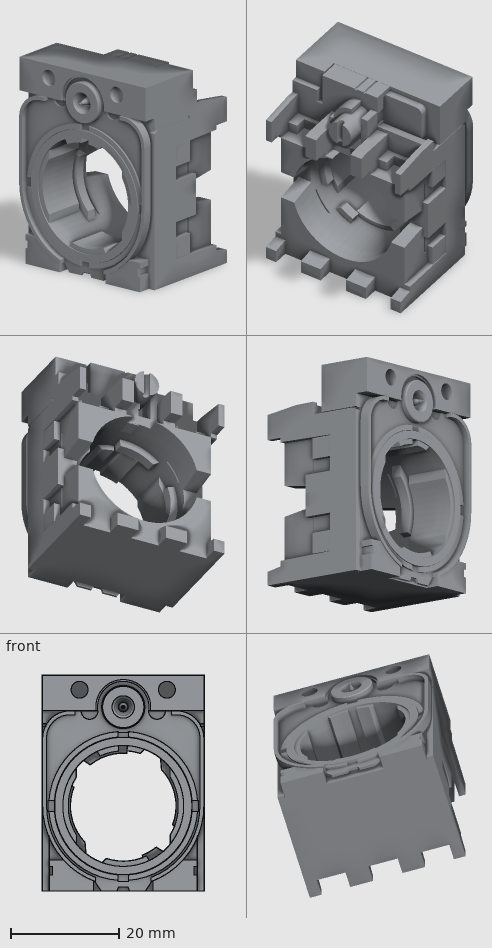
import cadquery as cq
import math

width = 30.0
height = 39.95
half = width / 2

rim_front = -0.28
pin_tip = -1.05
hub_front = 0.5
plate_face = 1.08
plate_back = 1.55
body_front = 2.6
block_back = 10.85
wall_back = 15.05
bay_back = 20.77
back = 23.85

bore_z = 15.75
bore_r = 11.2
lug_r = 10.2
deep_lug_r = 9.75
long_root_r = 11.8
deep_root_r = 12.0
chord_x = 8.65
lug_front = hub_front + 0.28
long_lug_back = 9.6
deep_lug_front = 10.2
deep_lug_back = 12.2

rim_wall = 0.7
plate_half = half - 0.1
plate_top = 33.3
plate_corner_r = 5.05
tab_half_top = 5.27
tab_half_bottom = 4.07
rim_gap_top = 8.95
rim_gap_bottom = 5.15
neck_r = 14.0
ring_outer_r = 13.8
ring_inner_r = 12.8
hub_r = 12.7
key_gap = 1.95

block_low = 33.45
body_top = 30.9
centre_left = -3.88
screw_z = 34.05
screw_r = 4.0
bushing_r = 4.15
socket_r = 2.08
socket_floor = 1.8
pin_base_r = 0.88

side_wall = 1.25
inner_half = half - side_wall
bay_floor = 26.7
bay_step = 28.75
foot_tip_z = 2.6
foot_root_z = 3.15
arm_low = 27.53
arm_tip_z = 32.28
shoulder_y = 13.0
shoulder_top = 33.28

post_inner = 3.85
post_outer = 6.25
foot_overhang = 1.0


def box(x0, x1, y0, y1, z0, z1):
    return cq.Workplane("XY").box(x1 - x0, y1 - y0, z1 - z0, centered=False).translate((x0, y0, z0))


def both_sides(shape):
    return shape.union(shape.mirror("YZ"))


def front_sketch(y):
    """Workplane at depth y with local axes X and Z; extruding moves toward the front (-Y)."""
    return cq.Workplane(cq.Plane(origin=(0, y, 0), xDir=(1, 0, 0), normal=(0, -1, 0)))


def disc(r, y0, y1, z=bore_z, x=0):
    return front_sketch(y1).center(x, z).circle(r).extrude(y1 - y0)


def front_poly(points, y0, y1):
    return front_sketch(y1).polyline(points).close().extrude(y1 - y0)


def side_poly(points, x0, x1):
    """Prism along X from an outline of (y, z) points."""
    return cq.Workplane("YZ").polyline(points).close().extrude(x1 - x0).translate((x0, 0, 0))


def plate_outline(inset, y0, y1):
    """Rounded-top plate with a lower half-circle about the bore."""
    side = plate_half - inset
    top = box(-side, side, y0, y1, bore_z, plate_top - inset)
    top = top.edges("|Y and >Z").fillet(plate_corner_r - inset)
    return top.union(disc(side, y0, y1))


def front_plate():
    tab_top = 1.8
    notch_top = 0.8
    notch_half_top = 0.85
    notch_half_bottom = 1.2
    plate = plate_outline(0, rim_front, plate_back)
    tab = [(-tab_half_top, tab_top + rim_wall), (-tab_half_top, tab_top), (-tab_half_bottom, 0),
           (tab_half_bottom, 0), (tab_half_top, tab_top), (tab_half_top, tab_top + rim_wall)]
    plate = plate.union(front_poly(tab, plate_face, plate_back))
    plate = plate.cut(plate_outline(rim_wall, rim_front, plate_face))
    plate = plate.cut(box(-rim_gap_top, rim_gap_top, rim_front, plate_face, bore_z, plate_top))
    plate = plate.cut(box(-rim_gap_bottom, rim_gap_bottom, rim_front, plate_face, 0, bore_z))
    notch = [(-notch_half_bottom, 0), (-notch_half_top, notch_top),
             (notch_half_top, notch_top), (notch_half_bottom, 0)]
    plate = plate.cut(front_poly(notch, plate_face, plate_back))
    scallop_x = 6.25
    scallop_r = 1.55
    scallop_floor = plate_face + 0.4
    plate = plate.cut(both_sides(disc(scallop_r, plate_face, scallop_floor, plate_top, scallop_x)))
    return plate.union(disc(neck_r, plate_back, body_front))


def add_hub(plate):
    """Raised ring around the bore, broken by four key gaps, and the hub inside it."""
    ring_front = 0.65
    gap_floor = plate_face + 0.1
    ring = disc(ring_outer_r, ring_front, plate_back).cut(disc(ring_inner_r, ring_front, plate_back))
    reach = ring_outer_r + 0.15
    gaps = box(-key_gap / 2, key_gap / 2, ring_front, gap_floor, bore_z - reach, bore_z + reach)
    gaps = gaps.union(box(-reach, reach, ring_front, gap_floor,
                          bore_z - key_gap / 2, bore_z + key_gap / 2))
    return plate.union(ring).cut(gaps).union(disc(hub_r, hub_front, plate_back))


def corner_blocks():
    """Two blocks at the lower front corners, each with a small latch notch."""
    outer_x = 13.62
    inner_x = 5.47
    top = 5.7
    block = box(inner_x, outer_x, 0, body_front, 0, top)
    latch_depth = 0.5
    block = block.cut(box(outer_x - latch_depth, outer_x, 0, body_front, 3.0, 4.55))
    clear = disc(plate_half, rim_front, plate_face)
    return both_sides(block.cut(clear))


def side_plates():
    web_low = 11.7
    web_high = 19.65
    web_back = 14.8
    window_front = 8.85
    outline = [
        (body_front, 0), (back, 0), (back, foot_tip_z), (bay_back, foot_root_z), (bay_back, 4.25),
        (window_front, 4.45), (window_front, web_low), (web_back, web_low), (web_back, web_high),
        (window_front, web_high), (window_front, 26.5), (bay_back, bay_floor), (bay_back, arm_low),
        (back, arm_low), (back, arm_tip_z), (17.05, 33.2), (shoulder_y, shoulder_top),
        (shoulder_y, body_top), (3.48, body_top), (body_front, 30.4),
    ]
    plate = side_poly(outline, inner_half, half)
    pad_out = half - 0.08
    pad_back = 13.15
    plate = plate.union(box(inner_half, pad_out, window_front, pad_back, 4.5, 8.45))
    plate = plate.union(box(inner_half, pad_out, window_front, pad_back, 22.45, 26.4))
    return both_sides(plate)


def body():
    split_front = 13.85
    split_back = 14.22
    mid_back = 14.8
    halves_meet = 13.45
    wall_front = 13.05
    front = box(-inner_half, inner_half, body_front, halves_meet, 0, body_top)
    rear = side_poly([(halves_meet, 0), (bay_back, 0), (bay_back, 12.8), (mid_back, 13.7),
                      (mid_back, 17.78), (bay_back, 18.65), (bay_back, bay_floor),
                      (halves_meet, bay_floor)], -inner_half, inner_half)
    solid = front.union(rear)
    wall = [(wall_front, bay_floor), (wall_back, bay_floor), (wall_back, shoulder_top), (wall_front, 32.8)]
    solid = solid.union(side_poly(wall, -inner_half, inner_half))
    for low, high in ((7.35, 11.75), (19.58, 23.65)):
        solid = solid.cut(box(-inner_half, inner_half, split_front, split_back, low, high))
    return solid


def bay_ledges():
    """Stepped floors of the three upper rear bays; the outer two are notched."""
    step_back = 18.35
    notch_front = 15.95
    outer = box(post_outer, inner_half, wall_back, step_back, bay_floor, bay_step)
    outer = outer.cut(box(8.15, 11.83, notch_front, step_back, bay_floor, bay_step))
    middle = box(-post_inner, post_inner, wall_back, step_back, bay_floor, bay_step)
    return both_sides(outer).union(middle)


def posts_and_feet():
    arm_top = 32.5
    profile = [(wall_back, bay_floor), (bay_back, bay_floor), (bay_back, arm_low), (back, arm_low),
               (back, arm_tip_z), (22.45, arm_top), (wall_back, arm_top)]
    foot = [(bay_back, 0), (back, 0), (back, foot_tip_z), (bay_back, foot_root_z)]
    parts = side_poly(profile, post_inner, post_outer)
    parts = parts.union(side_poly(foot, post_inner - foot_overhang, post_outer + foot_overhang))
    parts = parts.union(side_poly(foot, inner_half - foot_overhang, inner_half))
    return both_sides(parts)


def polar(r, degrees):
    a = math.radians(degrees)
    return (r * math.cos(a), bore_z + r * math.sin(a))


def lug(r_in, r_root, y0, y1, start_in, start_root, end_in, end_root):
    """Lug on the bore wall; each flank runs from the inner radius to the root radius."""
    sketch = front_sketch(y1).moveTo(*polar(r_in, start_in))
    sketch = sketch.threePointArc(polar(r_in, (start_in + end_in) / 2), polar(r_in, end_in))
    sketch = sketch.lineTo(*polar(r_root, end_root))
    sketch = sketch.threePointArc(polar(r_root, (start_root + end_root) / 2),
                                  polar(r_root, start_root))
    return sketch.close().extrude(y1 - y0)


def long_lugs():
    """Left and right segments beyond the chords, and a lug at the top and the bottom."""
    ring = disc(long_root_r, lug_front, long_lug_back).cut(disc(lug_r, lug_front, long_lug_back))
    lugs = ring.cut(box(-chord_x, chord_x, lug_front, long_lug_back, 0, height))
    for turn in (0, 180):
        lugs = lugs.union(lug(lug_r, long_root_r, lug_front, long_lug_back,
                              72 + turn, 68 + turn, 115 + turn, 115.8 + turn))
    keyway = box(-0.88, 0.7, lug_front, long_lug_back, bore_z, height)
    return lugs.cut(keyway)


def deep_lugs():
    """Lugs further back that reach further into the bore."""
    spans = ((-21, -21, 43.7, 55.5), (159, 159, 223.7, 235.5),
             (86, 86, 128.8, 132.2), (291, 291, 308.8, 312.2))
    lugs = cq.Workplane("XY")
    for span in spans:
        lugs = lugs.add(lug(deep_lug_r, deep_root_r, deep_lug_front, deep_lug_back, *span))
    return lugs.combine()


def terminal_block():
    block = box(-half, half, 0, block_back, block_low, height)
    block = block.union(box(-half, half, body_front, block_back, body_top, block_low))
    hole_x = 8.05
    hole_z = 37.25
    hole_r = 1.55
    hole_depth = 4.8
    block = block.cut(both_sides(disc(hole_r, 0, hole_depth, hole_z, hole_x)))
    step_r = 5.07
    step_depth = 0.5
    clearance_r = 4.75
    block = block.cut(disc(step_r, 0, step_depth, screw_z))
    block = block.cut(disc(clearance_r, 0, plate_face, screw_z))
    return block.union(disc(clearance_r, plate_face, plate_back, screw_z))


def rear_blocks():
    right_x = 8.35
    low_top = 35.95
    centre_top = height - 0.05
    groove_width = 0.4
    groove_depth = 0.25
    centre = box(centre_left, right_x, block_back, wall_back, body_top, centre_top)
    for groove_x in (-1.15, 0.75):
        centre = centre.cut(box(groove_x, groove_x + groove_width, block_back, wall_back,
                                centre_top - groove_depth, centre_top))
    recess_depth = 0.3
    recess_x = centre_left + recess_depth
    centre = centre.cut(box(centre_left, recess_x, shoulder_y, wall_back, shoulder_top, 36.15))
    centre = centre.cut(box(centre_left, recess_x, 12.5, shoulder_y, 31.55, 38.75))
    right_back = 13.95
    right = box(8.63, half, block_back, right_back, body_top, height)
    right = right.union(box(right_x, half, block_back, right_back, body_top, low_top))
    right = right.union(box(9.55, half, block_back, wall_back, body_top, low_top))
    tongue = box(-12, centre_left, block_back, 12.4, body_top, 38.9)
    tongue = tongue.edges("|Y and <X").fillet(1.28)
    parts = centre.union(right).union(tongue)
    return parts.cut(box(-half, half, 12.55, shoulder_y, body_top, 31.5))


def screw_turned(profile):
    """Solid turned about the screw axis from an outline of (radius, y) points."""
    turned = cq.Workplane("XY").polyline(profile).close().revolve(360, (0, 0, 0), (0, 1, 0))
    return turned.translate((0, 0, screw_z))


def screw_socket():
    """Funnel around a pointed centre pin, removed from the screw head."""
    throat_r = 1.6
    throat_y = 0.4
    return screw_turned([(0, rim_front), (socket_r, rim_front), (throat_r, throat_y),
                         (pin_base_r, socket_floor), (0, socket_floor)])


def screw_pin():
    pin_r = 0.3
    tip_r = 0.14
    step_y = -0.55
    return screw_turned([(0, pin_tip), (tip_r, pin_tip), (tip_r, step_y), (pin_r, step_y),
                         (pin_r, rim_front), (pin_base_r, socket_floor), (0, socket_floor)])


def screw():
    """Screw with a flanged head and a slotted shank at the back."""
    shank_r = 2.5
    shank_back = 21.75
    edge_bevel = 0.18
    bushing_back = body_front + 0.4
    edge_r = screw_r - edge_bevel
    profile = [
        (0, rim_front), (edge_r, rim_front), (screw_r, rim_front + edge_bevel),
        (screw_r, plate_back), (bushing_r, plate_back), (bushing_r, bushing_back),
        (shank_r, bushing_back), (shank_r, shank_back), (0, shank_back),
    ]
    solid = screw_turned(profile)
    slot_r = 0.65
    slot_depth = 1.08
    slot_floor = shank_back - slot_depth + slot_r
    low, high = screw_z - shank_r, screw_z + shank_r
    slot = box(-slot_r, slot_r, slot_floor, shank_back, low, high)
    slot = slot.union(cq.Workplane("XY").center(0, slot_floor).circle(slot_r)
                      .extrude(high - low).translate((0, 0, low)))
    return solid.cut(slot)


def shank_guides():
    """Half sleeve on the right of the shank and a square guide on its left."""
    guide_back = 18.3
    sleeve_r = 3.7
    sleeve_left = -0.28
    flat_x = 4.45
    shoulder_z = 36.6
    sleeve = disc(sleeve_r, wall_back, guide_back, screw_z)
    sleeve = sleeve.cut(box(-sleeve_r, sleeve_left, wall_back, guide_back, bay_floor, height))
    ear = box(0, flat_x, wall_back, guide_back, bay_floor, screw_z)
    guide = box(centre_left, -2.48, wall_back, guide_back, bay_floor, shoulder_z)
    return sleeve.union(ear).union(guide)


def joint_grooves():
    """Narrow grooves beside the side plates and under the terminal block."""
    seam_width = 0.1
    seam_depth = 0.6
    upright = box(inner_half - seam_width, inner_half, plate_back, body_front + seam_depth, 0, bore_z)
    level = box(half - seam_depth, half, body_front, block_back, body_top, body_top + seam_width)
    return both_sides(upright).union(both_sides(level))


opening = disc(bore_r, rim_front, back)
result = add_hub(front_plate()).union(corner_blocks()).union(side_plates())
result = result.union(body()).union(bay_ledges()).union(posts_and_feet())
result = result.cut(opening).union(long_lugs()).union(deep_lugs())
result = result.union(terminal_block()).union(rear_blocks())
result = result.union(screw()).union(shank_guides())
result = result.cut(joint_grooves()).cut(screw_socket()).union(screw_pin())